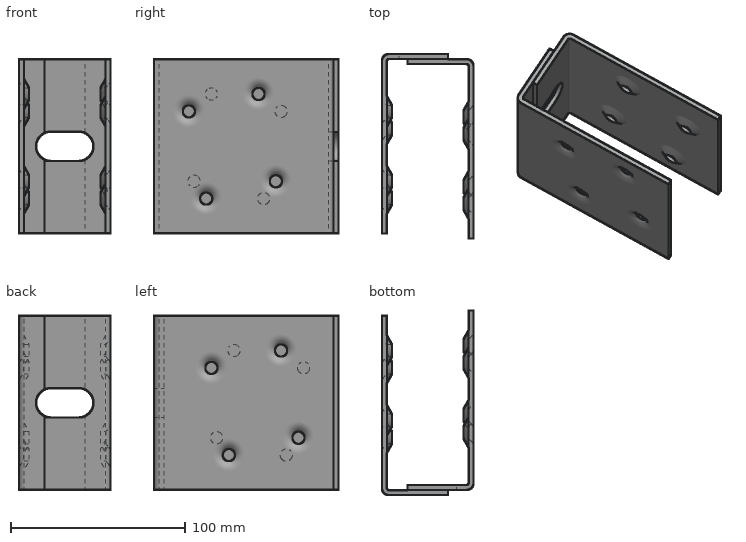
import cadquery as cq
import math

WIDTH = 52.7
HEIGHT = 100.0
DEPTH = 106.0

THICKNESS = 3.0
BEND_INNER_RADIUS = 1.1
BEND_OUTER_RADIUS = BEND_INNER_RADIUS + THICKNESS
LEG_LENGTH = DEPTH - THICKNESS
FLANGE_LENGTH = 38.1

SLOT_HEIGHT = 16.6
SLOT_END_GAP = 10.0

HOLE_PITCH_Y = 40.0
HOLE_PITCH_Z = 50.0
HOLE_SKEW = 10.0
PATTERN_CENTER = 58.0
HOLE_RADIUS = 3.5

DISH_RIM_RADIUS = 9.0
DISH_FLOOR_RADIUS = 4.0
DISH_DEPTH = 2.3
HOLE_START_DEPTH = 2.8

BOSS_HEIGHT = THICKNESS
BOSS_BASE_RADIUS = 8.6
BOSS_FILLET = 1.5
BOSS_TIP = THICKNESS + BOSS_HEIGHT


def bent_sheet():
    """Plain L-shaped sheet with a rounded bend."""
    sheet = (
        cq.Workplane("XY", origin=(0, 0, -HEIGHT / 2))
        .polyline([
            (0, 0),
            (FLANGE_LENGTH, 0),
            (FLANGE_LENGTH, -THICKNESS),
            (THICKNESS, -THICKNESS),
            (THICKNESS, -LEG_LENGTH),
            (0, -LEG_LENGTH),
        ])
        .close()
        .extrude(HEIGHT)
    )
    inner_corner = cq.selectors.NearestToPointSelector((THICKNESS, -THICKNESS, 0))
    outer_corner = cq.selectors.NearestToPointSelector((0, 0, 0))
    sheet = sheet.edges("|Z").edges(inner_corner).fillet(BEND_INNER_RADIUS)
    return sheet.edges("|Z").edges(outer_corner).fillet(BEND_OUTER_RADIUS)


def flange_slot():
    """Cutter with one round end, open at the free edge of the flange."""
    end_radius = SLOT_HEIGHT / 2
    round_center = SLOT_END_GAP + end_radius
    return (
        cq.Workplane("XZ")
        .moveTo(FLANGE_LENGTH, end_radius)
        .lineTo(round_center, end_radius)
        .threePointArc((SLOT_END_GAP, 0), (round_center, -end_radius))
        .lineTo(FLANGE_LENGTH, -end_radius)
        .close()
        .extrude(THICKNESS)
    )


def arc_point(start_x, start_radius, arc_radius, turn):
    """Point on an arc that leaves a leg face tangentially, heading in to the hole axis."""
    return (
        start_x + arc_radius * (1 - math.cos(turn)),
        start_radius - arc_radius * math.sin(turn),
    )


def boss():
    """Cone on the inner leg face, with a fillet around its foot and a core through the sheet."""
    slope = math.atan2(BOSS_HEIGHT, BOSS_BASE_RADIUS - HOLE_RADIUS)
    foot_radius = BOSS_BASE_RADIUS + BOSS_FILLET * math.tan(slope / 2)
    fillet_middle = arc_point(THICKNESS, foot_radius, BOSS_FILLET, slope / 2)
    fillet_top = arc_point(THICKNESS, foot_radius, BOSS_FILLET, slope)
    return (
        cq.Workplane("XY")
        .lineTo(0, foot_radius)
        .lineTo(THICKNESS, foot_radius)
        .threePointArc(fillet_middle, fillet_top)
        .lineTo(BOSS_TIP, HOLE_RADIUS)
        .lineTo(BOSS_TIP, 0)
        .close()
        .revolve(360, (0, 0), (1, 0))
    )


def dish_and_hole():
    """Cutter: a rounded dish, a short cone below it and the hole through the boss tip."""
    dish_width = DISH_RIM_RADIUS - DISH_FLOOR_RADIUS
    turn = 2 * math.atan2(DISH_DEPTH, dish_width)
    dish_radius = dish_width / math.sin(turn)
    return (
        cq.Workplane("XY")
        .lineTo(0, DISH_RIM_RADIUS)
        .threePointArc(
            arc_point(0, DISH_RIM_RADIUS, dish_radius, turn / 2),
            (DISH_DEPTH, DISH_FLOOR_RADIUS),
        )
        .lineTo(HOLE_START_DEPTH, HOLE_RADIUS)
        .lineTo(BOSS_TIP, HOLE_RADIUS)
        .lineTo(BOSS_TIP, 0)
        .close()
        .revolve(360, (0, 0), (1, 0))
    )


def hole_places():
    """Hole centres on the leg as (y, z), measured from the bent corner at mid-height."""
    places = []
    for column in (-1, 1):
        for row in (-1, 1):
            y = -PATTERN_CENTER - column * HOLE_PITCH_Y / 2 + row * HOLE_SKEW / 2
            z = row * HOLE_PITCH_Z / 2 + column * HOLE_SKEW / 2
            places.append((y, z))
    return places


def angle():
    """One angle: bent corner at the origin, leg along -Y, flange along +X."""
    part = bent_sheet().cut(flange_slot())
    for y, z in hole_places():
        part = part.union(boss().translate((0, y, z)))
        part = part.cut(dish_and_hole().translate((0, y, z)))
    return part


angles = []
for turn_angle, corner_x, corner_y in (
    (0, -WIDTH / 2, DEPTH / 2),
    (180, WIDTH / 2, DEPTH / 2 - THICKNESS),
):
    turned = angle().rotate((0, 0, 0), (0, 1, 0), turn_angle)
    angles.append(turned.translate((corner_x, corner_y, 0)))

result = cq.Compound.makeCompound([body.val() for body in angles])